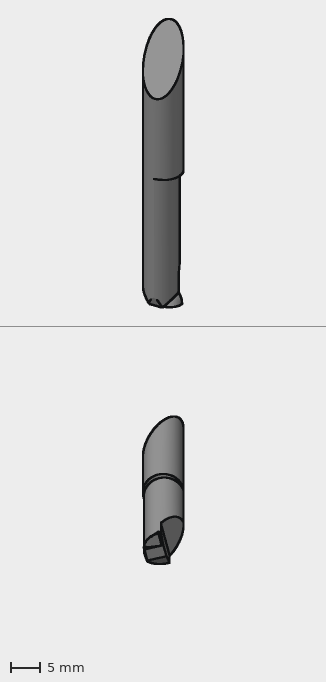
import cadquery as cq
import math

BAR_LENGTH = 53.25
BAR_RADIUS = 3.49
SLOPE_ANGLE = 60.0
SLOPE_RISE = 2 * BAR_RADIUS * math.tan(math.radians(SLOPE_ANGLE))

NECK_TOP = 25.45
NECK_SHIFT = 0.7

FLAT_Y = 0.25
RUNOUT_TOP = 11.5
RUNOUT_DROP = (BAR_RADIUS - FLAT_Y) * math.tan(math.radians(SLOPE_ANGLE))

END_X_SLOPE = -0.12
TIP_END_Y_SLOPE = -0.09
CHAMFER_LEVEL = -0.65
CHAMFER_X_SLOPE = -1.0
FRONT_LEVEL = -13.1
FRONT_Y_SLOPE = -4.4
END_LEVEL = -END_X_SLOPE * BAR_RADIUS

SEAT_X_SLOPE = 1.0
SEAT_LEVEL = -0.75
FLANK_RADIUS = 4.25
FLANK_X = BAR_RADIUS - FLANK_RADIUS
FLANK_LEAN = 1.1

MARGIN = 2.65
BLOCK_SIZE = 159.8


def vertical_cylinder(x, bottom, top):
    """Cylinder of the shank radius with its axis at the given x."""
    return cq.Workplane("XY", origin=(x, 0, bottom)).circle(BAR_RADIUS).extrude(top - bottom)


def above_plane(level, x_slope, y_slope):
    """Large block filling the space above a tilted plane."""
    plane = cq.Plane(origin=(0, 0, level), xDir=(1, 0, x_slope), normal=(-x_slope, -y_slope, 1))
    return cq.Workplane(plane).rect(BLOCK_SIZE, BLOCK_SIZE).extrude(BLOCK_SIZE)


def trim_lower_end(body, end_y_slope):
    """Keep what lies above the end face and the corner chamfer."""
    body = body.intersect(above_plane(END_LEVEL, END_X_SLOPE, end_y_slope))
    return body.intersect(above_plane(CHAMFER_LEVEL, CHAMFER_X_SLOPE, 0))


def make_bar():
    """Round shank with sloping top, reduced neck and flattened lower end."""
    side_profile = (
        cq.Workplane("YZ")
        .polyline([
            (-BAR_RADIUS, -MARGIN),
            (FLAT_Y, -MARGIN),
            (FLAT_Y, RUNOUT_TOP - RUNOUT_DROP),
            (BAR_RADIUS, RUNOUT_TOP),
            (BAR_RADIUS, BAR_LENGTH),
            (-BAR_RADIUS, BAR_LENGTH - SLOPE_RISE),
        ])
        .close()
        .extrude(BAR_RADIUS, both=True)
    )
    shank = vertical_cylinder(0, NECK_TOP, BAR_LENGTH)
    neck = vertical_cylinder(0, -MARGIN, NECK_TOP).intersect(
        vertical_cylinder(-NECK_SHIFT, -MARGIN, NECK_TOP)
    )
    bar = trim_lower_end(shank.union(neck).intersect(side_profile), 0)
    bar = bar.intersect(above_plane(FRONT_LEVEL, 0, FRONT_Y_SLOPE))
    return bar.intersect(above_plane(SEAT_LEVEL, SEAT_X_SLOPE, 0))


def make_tip():
    """Cutting tip with a leaning round flank and its rake face at y = 0."""
    lean = cq.Plane(origin=(FLANK_X, 0, 0), xDir=(1, 0, 0), normal=(0, FLANK_LEAN, 1))
    minor_radius = FLANK_RADIUS * math.cos(math.atan(FLANK_LEAN))
    flank = cq.Workplane(lean).ellipse(FLANK_RADIUS, minor_radius).extrude(BLOCK_SIZE / 2, both=True)
    back_half = cq.Workplane("XY").box(BLOCK_SIZE, BLOCK_SIZE, BLOCK_SIZE, centered=(True, False, True))
    tip = vertical_cylinder(0, -MARGIN, NECK_TOP).intersect(flank).cut(back_half)
    tip = tip.cut(above_plane(SEAT_LEVEL, SEAT_X_SLOPE, 0))
    return trim_lower_end(tip, TIP_END_Y_SLOPE)


bar = make_bar()
tip = make_tip()
result = cq.Compound.makeCompound([bar.val(), tip.val()])